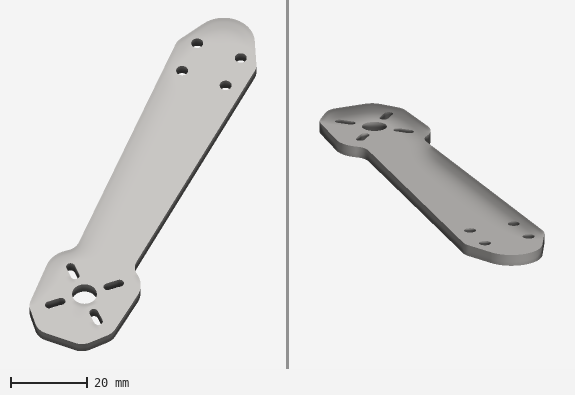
import cadquery as cq
import math

thickness = 3.0
length = 116.5
motor_end_y = -16.1
tip_y = motor_end_y + length

tip_radius = 8.2
tip_side_slope = 0.5
tip_half_angle = math.atan(tip_side_slope)
apex_y = tip_y + tip_radius * (1 / math.sin(tip_half_angle) - 1)

shoulder_y = 87.7
shoulder = ((apex_y - shoulder_y) * tip_side_slope, shoulder_y)
neck = (8.2, 13.0)
motor_head_top = (13.3, 9.2)
motor_head_bottom = (12.0, -9.2)
end_corner = (6.4, motor_end_y)

rounded_corners = [
    (shoulder, 4.7),
    (neck, 4.4),
    (motor_head_top, 7.7),
    (motor_head_bottom, 5.0),
    (end_corner, 4.7),
]

frame_hole_diameter = 3.1
frame_hole_spacing_x = 12.5
frame_hole_spacing_y = 10.0
frame_holes_y = 84.1

shaft_hole_diameter = 6.5
slot_width = 2.3
slot_inner_radius = 6.6
slot_outer_radius = 9.9
slot_count = 4
first_slot_angle = 45


def make_plate():
    """Extrude the sharp symmetric outline, then round its vertical edges."""
    right_side = [corner for corner, radius in rounded_corners]
    left_side = [(-x, y) for x, y in reversed(right_side)]
    apex = (0, apex_y)
    plate = cq.Workplane("XY").polyline([apex] + right_side + left_side).close().extrude(thickness)
    plate = round_edge(plate, apex, tip_radius)
    for (x, y), radius in rounded_corners:
        for side in (1, -1):
            plate = round_edge(plate, (side * x, y), radius)
    return plate


def round_edge(plate, corner, radius):
    """Fillet the vertical edge standing at a corner of the outline."""
    x, y = corner
    edge = cq.selectors.NearestToPointSelector((x, y, thickness / 2))
    return plate.edges("|Z").edges(edge).fillet(radius)


def make_frame_holes():
    return (
        cq.Workplane("XY")
        .center(0, frame_holes_y)
        .rarray(frame_hole_spacing_x, frame_hole_spacing_y, 2, 2)
        .circle(frame_hole_diameter / 2)
        .extrude(thickness)
    )


def make_motor_openings():
    openings = cq.Workplane("XY").circle(shaft_hole_diameter / 2).extrude(thickness)
    slot_centre_radius = (slot_inner_radius + slot_outer_radius) / 2
    slot_length = slot_outer_radius - slot_inner_radius + slot_width
    slots = (
        cq.Workplane("XY")
        .polarArray(slot_centre_radius, first_slot_angle, 360, slot_count)
        .slot2D(slot_length, slot_width)
        .extrude(thickness)
    )
    return openings.union(slots)


result = make_plate().cut(make_frame_holes()).cut(make_motor_openings())